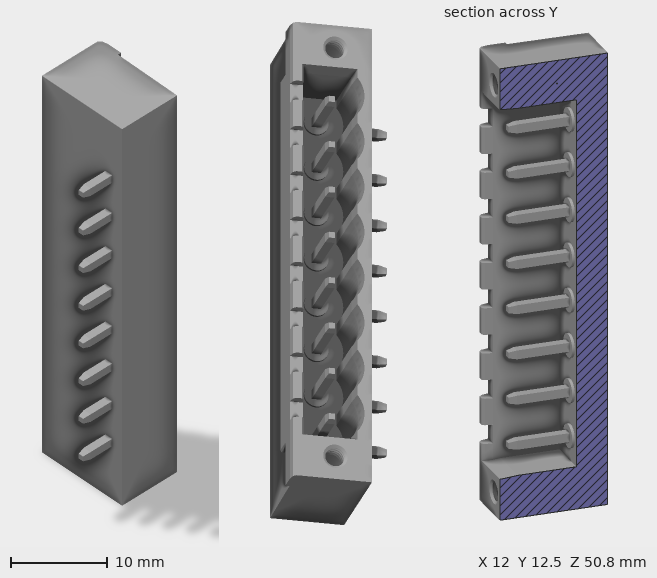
import cadquery as cq
import math

PITCH = 5.08
WAY_COUNT = 8
BODY_DEPTH = 12.0
BODY_HEIGHT = 8.5
END_MARGIN = 1.5 * PITCH
BODY_LENGTH = (WAY_COUNT - 1) * PITCH + 2 * END_MARGIN

LIP_TAPER_DEPTH = 1.1
LIP_STEEP_DEPTH = 0.3
OUTER_LIP_DROP = 0.45
INNER_LIP_DROP = 0.35
LIP_SHALLOW_DROP = 0.15
RIDGE_END_X = 3.0
SHOULDER_Y = 8.05
REAR_Y = 7.9
LATCH_END_X = 5.3
LATCH_CHAMFER = 0.15

POCKET_LENGTH = 41.5
POCKET_DEPTH = 8.5
POCKET_BOTTOM_Y = 1.7
POCKET_TOP_Y = 7.1
LEAD_IN_DEPTH = 2.0
LEAD_IN_FLARE = 0.15
AXIS_Y = 3.9
SCALLOP_RADIUS = 2.95
SCALLOP_TOP_Y = 2.0
SLOT_WIDTH = 2.1

PIN_WIDTH = 1.0
PIN_TIP_WIDTH = 0.65
PIN_TAPER_LENGTH = 0.9
CONTACT_TIP_X = 1.5
COLLAR_DIAMETER = 2.6
COLLAR_HEIGHT = 0.3
TAIL_X = 10.0
TAIL_LENGTH = 4.0

HOLE_MINOR_DIAMETER = 2.05
HOLE_MAJOR_DIAMETER = 2.6
THREAD_PITCH = 0.45
THREAD_TURNS = 10
FLANGE_HOLE_INSET = PITCH / 2

POCKET_START_Z = (BODY_LENGTH - POCKET_LENGTH) / 2
CONTACT_LEVELS = [END_MARGIN + way * PITCH for way in range(WAY_COUNT)]
HOLE_LEVELS = [FLANGE_HOLE_INSET, BODY_LENGTH - FLANGE_HOLE_INSET]


def make_housing():
    """Constant profile with a tapered lip and a slightly sloping rear top."""
    return (
        cq.Workplane("XY")
        .moveTo(0, 0)
        .lineTo(BODY_DEPTH, 0)
        .lineTo(BODY_DEPTH, REAR_Y)
        .lineTo(RIDGE_END_X, SHOULDER_Y)
        .lineTo(RIDGE_END_X, BODY_HEIGHT)
        .lineTo(LIP_TAPER_DEPTH, BODY_HEIGHT)
        .lineTo(LIP_STEEP_DEPTH, BODY_HEIGHT - LIP_SHALLOW_DROP)
        .lineTo(0, BODY_HEIGHT - OUTER_LIP_DROP)
        .close()
        .extrude(BODY_LENGTH)
    )


def make_latch_bar():
    """Bar behind the ridge, chamfered along its rear edge and both ends."""
    base_y = POCKET_TOP_Y + INNER_LIP_DROP
    bar = cq.Workplane("XY").box(
        LATCH_END_X - RIDGE_END_X, BODY_HEIGHT - base_y, POCKET_LENGTH, centered=False
    )
    bar = bar.faces(">Y").edges(">X or >Z or <Z").chamfer(LATCH_CHAMFER)
    return bar.translate((RIDGE_END_X, base_y, POCKET_START_Z))


def make_region_below_lip():
    """Space below the upper lip, following the two bevels on its inner edge."""
    return (
        cq.Workplane("XY")
        .lineTo(LEAD_IN_DEPTH, 0)
        .lineTo(LEAD_IN_DEPTH, POCKET_TOP_Y)
        .lineTo(LIP_TAPER_DEPTH, POCKET_TOP_Y)
        .lineTo(LIP_STEEP_DEPTH, POCKET_TOP_Y + LIP_SHALLOW_DROP)
        .lineTo(0, POCKET_TOP_Y + INNER_LIP_DROP)
        .close()
        .extrude(BODY_LENGTH)
    )


def make_main_cavity():
    """Box-shaped cavity whose mouth tapers inwards at the bottom and both ends."""
    inner = cq.Workplane("XY").box(
        POCKET_DEPTH,
        POCKET_TOP_Y - POCKET_BOTTOM_Y,
        POCKET_LENGTH - 2 * LEAD_IN_FLARE,
        centered=False,
    ).translate((0, POCKET_BOTTOM_Y, POCKET_START_Z + LEAD_IN_FLARE))
    mouth_bottom_y = POCKET_BOTTOM_Y - LEAD_IN_FLARE
    mouth_height = BODY_HEIGHT - mouth_bottom_y
    taper_angle = math.degrees(math.atan(LEAD_IN_FLARE / LEAD_IN_DEPTH))
    mouth = (
        cq.Workplane("YZ", origin=(0, mouth_bottom_y + mouth_height / 2, BODY_LENGTH / 2))
        .rect(mouth_height, POCKET_LENGTH)
        .extrude(LEAD_IN_DEPTH, taper=taper_angle)
    )
    return inner.union(mouth.intersect(make_region_below_lip()))


def make_scallop(z):
    """Round recess under a contact, conical at the mouth."""
    scallop = (
        cq.Workplane("XY")
        .lineTo(0, SCALLOP_RADIUS + LEAD_IN_FLARE)
        .lineTo(LEAD_IN_DEPTH, SCALLOP_RADIUS)
        .lineTo(POCKET_DEPTH, SCALLOP_RADIUS)
        .lineTo(POCKET_DEPTH, 0)
        .close()
        .revolve(360, (0, 0, 0), (1, 0, 0))
        .translate((0, AXIS_Y, z))
    )
    lower_region = cq.Workplane("XY").box(POCKET_DEPTH, SCALLOP_TOP_Y, BODY_LENGTH, centered=False)
    return scallop.intersect(lower_region)


def make_pocket():
    """Mating pocket with its lead-in and a scallop under each contact."""
    pocket = make_main_cavity()
    for z in CONTACT_LEVELS:
        pocket = pocket.union(make_scallop(z))
    return pocket


def make_lip_slot(z):
    """Notch through the tapered front of the upper lip."""
    return cq.Workplane("XY").box(
        LIP_TAPER_DEPTH, BODY_HEIGHT - AXIS_Y, SLOT_WIDTH, centered=(False, False, True)
    ).translate((0, AXIS_Y, z))


def make_flange_hole(z):
    """Blind hole whose thread is a stack of V-shaped ring grooves."""
    minor_radius = HOLE_MINOR_DIAMETER / 2
    major_radius = HOLE_MAJOR_DIAMETER / 2
    profile = cq.Workplane("XY").moveTo(0, 0).lineTo(0, major_radius)
    for turn in range(THREAD_TURNS):
        start_x = turn * THREAD_PITCH
        profile = profile.lineTo(start_x + THREAD_PITCH / 2, minor_radius)
        profile = profile.lineTo(start_x + THREAD_PITCH, major_radius)
    profile = profile.lineTo(THREAD_TURNS * THREAD_PITCH, 0).close()
    return profile.revolve(360, (0, 0, 0), (1, 0, 0)).translate((0, AXIS_Y, z))


def make_square_pin(plane, tip, length):
    """Square pin running along the plane normal from its tapered tip."""
    taper = (
        cq.Workplane(plane, origin=tip)
        .rect(PIN_TIP_WIDTH, PIN_TIP_WIDTH)
        .workplane(offset=PIN_TAPER_LENGTH)
        .rect(PIN_WIDTH, PIN_WIDTH)
        .loft()
    )
    shank = (
        cq.Workplane(plane, origin=tip)
        .workplane(offset=PIN_TAPER_LENGTH)
        .rect(PIN_WIDTH, PIN_WIDTH)
        .extrude(length - PIN_TAPER_LENGTH)
    )
    return taper.union(shank)


def make_contact(z):
    """Right-angle contact: mating pin with its collar, and board tail."""
    mating_pin = make_square_pin("YZ", (CONTACT_TIP_X, AXIS_Y, z), TAIL_X - CONTACT_TIP_X)
    tail = make_square_pin("ZX", (TAIL_X, -TAIL_LENGTH, z), TAIL_LENGTH + AXIS_Y)
    collar = (
        cq.Workplane("YZ", origin=(POCKET_DEPTH - COLLAR_HEIGHT, AXIS_Y, z))
        .circle(COLLAR_DIAMETER / 2)
        .extrude(TAIL_X - POCKET_DEPTH + COLLAR_HEIGHT)
    )
    return mating_pin.union(tail).union(collar)


result = make_housing().union(make_latch_bar()).cut(make_pocket())
for hole_z in HOLE_LEVELS:
    result = result.cut(make_flange_hole(hole_z))
for contact_z in CONTACT_LEVELS:
    result = result.cut(make_lip_slot(contact_z)).union(make_contact(contact_z))